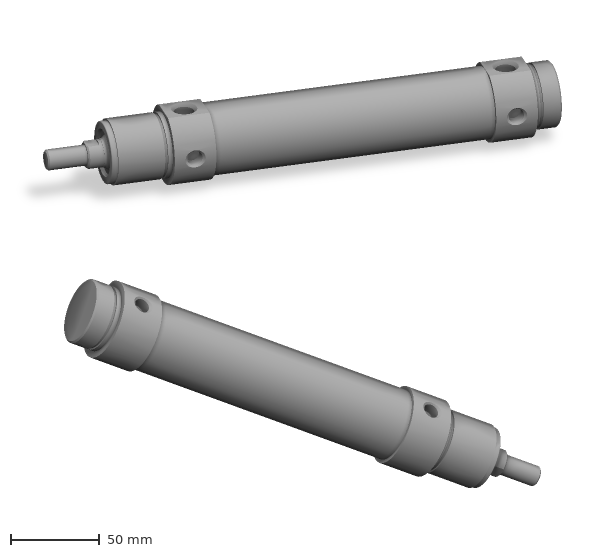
import cadquery as cq
import math

TOTAL_LENGTH = 298.0

THREAD_DIA = 12.0
THREAD_CHAMFER = 1.0
ROD_DIA = 16.0
ROD_CHAMFER = 1.0
SHOULDER_Y = 23.0
FLAT_LENGTH = 7.5
FLAT_WIDTH = 14.0

RING_DIA = 46.0
RING_LENGTH = 24.5
PORT_FACE_WIDTH = 18.2
PORT_FACE_HEIGHT = math.sqrt((RING_DIA ** 2 - PORT_FACE_WIDTH ** 2) / 4)
COLLAR_LENGTH = 1.8
NECK_DIA = 38.0
GROOVE_DIA = 36.0
GROOVE_WIDTH = 1.8
GROOVE_OFFSET = 2.7
FRONT_RING_Y = 69.0
REAR_RING_Y = 282.5
REAR_EDGE_CHAMFER = 1.0

NOSE_Y = 33.7
NOSE_TIP_DIA = 36.0
NOSE_TIP_LENGTH = 3.5
NOSE_FILLET = 0.5
RECESS_MOUTH_DIA = 27.7
RECESS_FLOOR_DIA = 26.0
RECESS_DEPTH = 2.0
LIP_BASE_DIA = 20.0
LIP_TIP_DIA = 16.7
LIP_PROTRUSION = 1.5

PORT_DIA = 11.3
PORT_MOUTH_DIA = 15.0
PORT_FLOOR_HEIGHT = 1.0
DRILL_ANGLE = 118.0
PIVOT_DIA = 9.0
PIVOT_MOUTH_DIA = 12.0
PIVOT_DEPTH = 8.0
PIN_DIA = 4.0

BARREL_DIA = 41.7

CUT_CLEARANCE = 3.0

FRONT_COLLAR_END_Y = FRONT_RING_Y + RING_LENGTH + COLLAR_LENGTH
REAR_COLLAR_END_Y = REAR_RING_Y - RING_LENGTH - COLLAR_LENGTH


def turned(profile):
    """Revolve (radius, y) points about the Y axis."""
    return cq.Workplane("XY").polyline(profile).close().revolve(360, (0, 0, 0), (0, 1, 0))


def disc(diameter, y_start, y_end):
    return turned([(0, y_start), (diameter / 2, y_start), (diameter / 2, y_end), (0, y_end)])


def drill(bore_dia, mouth_dia, top, floor, tip_depth):
    """Cutter pointing down Z: a 45 degree countersink at `top`, a bore and a tip (flat if 0)."""
    bore = bore_dia / 2
    mouth = mouth_dia / 2
    start = top + CUT_CLEARANCE
    profile = [
        (0, start),
        (mouth, start),
        (mouth, top),
        (bore, top - (mouth - bore)),
        (bore, floor),
        (0, floor - tip_depth),
    ]
    return (
        cq.Workplane("XZ")
        .polyline(profile)
        .close()
        .revolve(360, (0, 0, 0), (0, 1, 0))
    )


def port_cutter(ring_middle_y):
    tip_depth = PORT_DIA / 2 / math.tan(math.radians(DRILL_ANGLE / 2))
    port = drill(PORT_DIA, PORT_MOUTH_DIA, PORT_FACE_HEIGHT, PORT_FLOOR_HEIGHT, tip_depth)
    return port.translate((0, ring_middle_y, 0))


def cut_port_face(head, ring_middle_y):
    above_face = cq.Workplane("XY").box(RING_DIA, RING_LENGTH, RING_DIA, centered=(True, True, False))
    return head.cut(above_face.translate((0, ring_middle_y, PORT_FACE_HEIGHT)))


def cut_pivot_holes(head, ring_middle_y):
    """One blind, flat-bottomed mounting hole on each side of the ring."""
    hole = drill(PIVOT_DIA, PIVOT_MOUTH_DIA, RING_DIA / 2, RING_DIA / 2 - PIVOT_DEPTH, 0)
    for angle in (90, -90):
        side_hole = hole.rotate((0, 0, 0), (0, 1, 0), angle)
        head = head.cut(side_hole.translate((0, ring_middle_y, 0)))
    return head


def neck_groove(y_start):
    return disc(NECK_DIA + CUT_CLEARANCE, y_start, y_start + GROOVE_WIDTH).cut(
        disc(GROOVE_DIA, y_start, y_start + GROOVE_WIDTH)
    )


def make_front_head():
    ring = disc(RING_DIA, FRONT_RING_Y, FRONT_RING_Y + RING_LENGTH)
    collar = disc(BARREL_DIA, FRONT_RING_Y + RING_LENGTH, FRONT_COLLAR_END_Y)
    neck = disc(NECK_DIA, NOSE_Y + NOSE_TIP_LENGTH, FRONT_RING_Y)
    tip = disc(NOSE_TIP_DIA, NOSE_Y, NOSE_Y + NOSE_TIP_LENGTH).faces("<Y").edges().fillet(NOSE_FILLET)
    head = ring.union(collar).union(neck).union(tip)
    head = head.cut(neck_groove(FRONT_RING_Y - GROOVE_OFFSET - GROOVE_WIDTH))

    floor_y = NOSE_Y + RECESS_DEPTH
    lip_y = NOSE_Y - LIP_PROTRUSION
    recess = turned(
        [(0, NOSE_Y), (RECESS_MOUTH_DIA / 2, NOSE_Y), (RECESS_FLOOR_DIA / 2, floor_y), (0, floor_y)]
    )
    lip = turned(
        [
            (0, lip_y),
            (LIP_TIP_DIA / 2, lip_y),
            (LIP_TIP_DIA / 2, NOSE_Y),
            (LIP_BASE_DIA / 2, floor_y),
            (0, floor_y),
        ]
    )
    head = head.cut(recess).union(lip)

    ring_middle_y = FRONT_RING_Y + RING_LENGTH / 2
    head = cut_port_face(head, ring_middle_y)
    head = cut_pivot_holes(head, ring_middle_y)
    head = head.cut(port_cutter(ring_middle_y))
    return head.cut(disc(ROD_DIA, lip_y, FRONT_COLLAR_END_Y))


def make_rear_head():
    ring = disc(RING_DIA, REAR_RING_Y - RING_LENGTH, REAR_RING_Y)
    collar = disc(BARREL_DIA, REAR_COLLAR_END_Y, REAR_RING_Y - RING_LENGTH)
    neck = disc(NECK_DIA, REAR_RING_Y, TOTAL_LENGTH).faces(">Y").edges().chamfer(REAR_EDGE_CHAMFER)
    head = ring.union(collar).union(neck)
    head = head.cut(neck_groove(REAR_RING_Y + GROOVE_OFFSET))

    ring_middle_y = REAR_RING_Y - RING_LENGTH / 2
    head = cut_port_face(head, ring_middle_y)
    head = cut_pivot_holes(head, ring_middle_y)
    pin = disc(PIN_DIA, REAR_RING_Y - RING_LENGTH, REAR_RING_Y)
    return head.cut(port_cutter(ring_middle_y).cut(pin))


def make_barrel():
    return disc(BARREL_DIA, FRONT_COLLAR_END_Y, REAR_COLLAR_END_Y)


def make_piston_rod():
    thread = disc(THREAD_DIA, 0, SHOULDER_Y).faces("<Y").edges().chamfer(THREAD_CHAMFER)
    shank = disc(ROD_DIA, SHOULDER_Y, FRONT_COLLAR_END_Y).faces("<Y").edges().chamfer(ROD_CHAMFER)
    rod = thread.union(shank)
    flat_cut = cq.Workplane("XY").box(ROD_DIA, FLAT_LENGTH, ROD_DIA, centered=(True, False, False))
    flat_cut = flat_cut.translate((0, SHOULDER_Y, FLAT_WIDTH / 2))
    return rod.cut(flat_cut).cut(flat_cut.mirror("XY"))


front_head = make_front_head()
rear_head = make_rear_head()
barrel = make_barrel()
piston_rod = make_piston_rod()

result = cq.Compound.makeCompound(
    [body.solids().val() for body in (front_head, rear_head, barrel, piston_rod)]
)